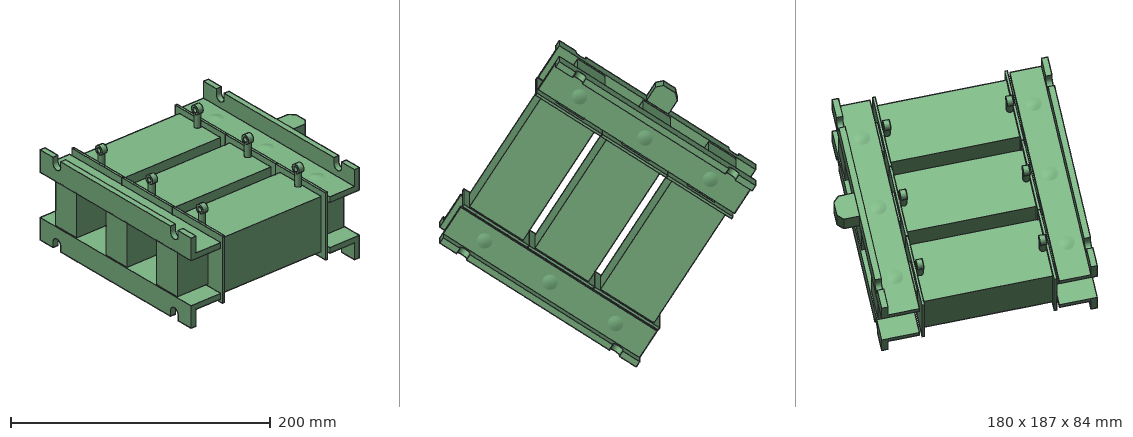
import cadquery as cq


COIL_PITCH = 60.0
COLUMN_XS = (-COIL_PITCH, 0, COIL_PITCH)
CORE_WIDTH = 25.0
CORE_HEIGHT = 40.0
CORE_LENGTH = 168.0

BRACKET_LENGTH = 3 * COIL_PITCH
BRACKET_SPAN = 170.0
BRACKET_THICKNESS = 5.0
BRACKET_SHELF = 30.0
BRACKET_LEG = 20.0
SLOT_WIDTH = 9.0
SLOT_DEPTH = 9.5
SLOT_SPACING = 140.0

COIL_SIZE = 49.0
COIL_LENGTH = 102.1
FLANGE_SIZE = 59.5
FLANGE_THICKNESS = 2.0

HEAD_DIAMETER = 12.0
HEAD_HEIGHT = 1.0

RING_DIAMETER = 8.0
RING_HOLE = 4.3
RING_THICKNESS = 5.0
STEM_DIAMETER = 5.5
TERMINAL_Y = 48.5

TAB_WIDTH = 20.0
TAB_HEIGHT = 18.0
TAB_LENGTH = 17.0
TAB_CHAMFER = 4.5

BRACKET_END = BRACKET_SPAN / 2
CORE_TOP = CORE_HEIGHT / 2
SHELF_TOP = CORE_TOP + BRACKET_THICKNESS
LEG_TOP = CORE_TOP + BRACKET_LEG
BOLT_Y = BRACKET_END - (BRACKET_SHELF + BRACKET_THICKNESS) / 2


def make_phase(x):
    """One core column with its coil and two bobbin flanges."""
    phase = cq.Workplane("XY").box(CORE_WIDTH, CORE_LENGTH, CORE_HEIGHT)
    phase = phase.union(cq.Workplane("XY").box(COIL_SIZE, COIL_LENGTH, COIL_SIZE))
    flange = cq.Workplane("XY").box(FLANGE_SIZE, FLANGE_THICKNESS, FLANGE_SIZE)
    flange_y = (COIL_LENGTH + FLANGE_THICKNESS) / 2
    for y in (-flange_y, flange_y):
        phase = phase.union(flange.translate((0, y, 0)))
    return phase.translate((x, 0, 0))


def make_bolt_head(x):
    """Shallow spherical cap on the shelf of the rear upper bracket."""
    radius = HEAD_DIAMETER / 2
    sphere_radius = (radius**2 + HEAD_HEIGHT**2) / (2 * HEAD_HEIGHT)
    sphere_z = SHELF_TOP + HEAD_HEIGHT - sphere_radius
    sphere = cq.Workplane("XY").sphere(sphere_radius).translate((x, BOLT_Y, sphere_z))
    seat = cq.Workplane("XY", origin=(x, BOLT_Y, SHELF_TOP)).circle(radius).extrude(HEAD_HEIGHT)
    return seat.intersect(sphere)


def make_bracket():
    """Rear upper angle bracket with two open mounting slots and three bolt heads."""
    bracket = (
        cq.Workplane("YZ", origin=(-BRACKET_LENGTH / 2, 0, 0))
        .moveTo(BRACKET_END, CORE_TOP)
        .vLineTo(LEG_TOP)
        .hLine(-BRACKET_THICKNESS)
        .vLineTo(SHELF_TOP)
        .hLineTo(BRACKET_END - BRACKET_SHELF)
        .vLineTo(CORE_TOP)
        .close()
        .extrude(BRACKET_LENGTH)
    )
    slot_radius = SLOT_WIDTH / 2
    slot_bottom = LEG_TOP - SLOT_DEPTH
    for x in (-SLOT_SPACING / 2, SLOT_SPACING / 2):
        slot = (
            cq.Workplane("XZ", origin=(x, BRACKET_END, 0))
            .moveTo(-slot_radius, LEG_TOP)
            .vLineTo(slot_bottom + slot_radius)
            .threePointArc((0, slot_bottom), (slot_radius, slot_bottom + slot_radius))
            .vLineTo(LEG_TOP)
            .close()
            .extrude(BRACKET_THICKNESS)
        )
        bracket = bracket.cut(slot)
    for x in COLUMN_XS:
        bracket = bracket.union(make_bolt_head(x))
    return bracket


def make_terminal(x, y):
    """Upright stem on a coil, ending in a ring whose bore runs along Y."""
    coil_top = COIL_SIZE / 2
    ring_bottom = LEG_TOP - RING_DIAMETER / 2
    stem = (
        cq.Workplane("XY", origin=(x, y, coil_top))
        .circle(STEM_DIAMETER / 2)
        .extrude(ring_bottom - coil_top + (RING_DIAMETER - RING_HOLE) / 2)
    )
    ring_plane = cq.Workplane("XZ", origin=(x, y, LEG_TOP))
    ring = ring_plane.circle(RING_DIAMETER / 2).extrude(RING_THICKNESS / 2, both=True)
    bore = ring_plane.circle(RING_HOLE / 2).extrude(RING_THICKNESS, both=True)
    return stem.union(ring).cut(bore)


def make_tab():
    """Tab standing out behind the rear upper bracket, centred on the height of its leg."""
    return (
        cq.Workplane("XY")
        .box(TAB_WIDTH, TAB_LENGTH, TAB_HEIGHT)
        .edges("|Z and >Y")
        .chamfer(TAB_CHAMFER)
        .translate((0, BRACKET_END + TAB_LENGTH / 2, CORE_TOP + BRACKET_LEG / 2))
    )


upper_rear = make_bracket()
upper_pair = upper_rear.union(upper_rear.mirror("XZ"))
result = upper_pair.union(upper_pair.mirror("XY"))

for column_x in COLUMN_XS:
    result = result.union(make_phase(column_x))
    for terminal_y in (-TERMINAL_Y, TERMINAL_Y):
        result = result.union(make_terminal(column_x, terminal_y))

result = result.union(make_tab())